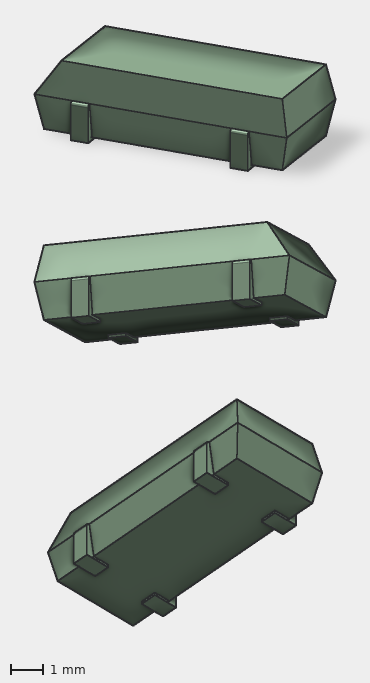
import cadquery as cq

length = 8.7
width = 3.6
half_height = 1.2
side_inset = 0.19
end_inset = 0.24
slope_inset = 0.84

overall_width = 3.8
standoff = 0.1
lead_width = 0.6
lead_pitch = 5.5
foot_length = 0.905

parting_z = standoff + half_height
face_width = width - 2 * side_inset


def tapered_half(face_z, left_inset):
    """Half of the housing, from the parting plane to a smaller flat face."""
    face_length = length - left_inset - end_inset
    face_center_x = (left_inset - end_inset) / 2
    return (
        cq.Workplane("XY", origin=(0, 0, parting_z))
        .rect(length, width)
        .workplane(offset=face_z - parting_z)
        .center(face_center_x, 0)
        .rect(face_length, face_width)
        .loft(ruled=True)
    )


def make_housing():
    lower = tapered_half(standoff, end_inset)
    upper = tapered_half(parting_z + half_height, slope_inset)
    return lower.union(upper)


def make_lead(x, side):
    """Lead at the given x; side is -1 or +1 for the -Y or +Y long side.

    It follows the tapered wall of the housing and turns in under its base.
    Its shoulder is a quarter round as wide as the lead stands proud of the housing.
    """
    outer_y = overall_width / 2
    toe_y = outer_y - foot_length
    shoulder_radius = outer_y - width / 2
    return (
        cq.Workplane("YZ", origin=(x, 0, 0))
        .moveTo(side * toe_y, 0)
        .lineTo(side * outer_y, 0)
        .lineTo(side * outer_y, parting_z - shoulder_radius)
        .tangentArcPoint((side * width / 2, parting_z), relative=False)
        .lineTo(side * face_width / 2, standoff)
        .lineTo(side * toe_y, standoff)
        .close()
        .extrude(lead_width / 2, both=True)
    )


housing = make_housing()
leads = [
    make_lead(x, side)
    for x in (-lead_pitch / 2, lead_pitch / 2)
    for side in (-1, 1)
]

result = cq.Compound.makeCompound([housing.val(), *[lead.val() for lead in leads]])